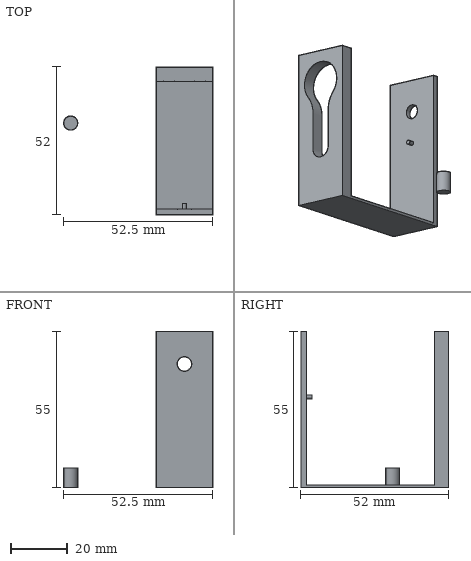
import cadquery as cq
import math

height = 55.0
depth = 52.0
width = 20.0
back_wall = 5.0
front_wall = 2.0
floor = 1.0

hole_diameter = 5.0
hole_z = height - 11.5

peg_diameter = 1.5
peg_length = 2.0
peg_z = 31.9

head_radius = 7.35
slot_radius = 3.45
slot_end_z = 19.45
blend_radius = 9.5

pin_diameter = 5.0
pin_length = 7.0
pin_x = -40.05
pin_y = 32.3


def cylinder_along_y(diameter, start_y, length, z):
    """Cylinder on the bracket's middle plane, running toward +Y."""
    return cq.Workplane(cq.Solid.makeCylinder(
        diameter / 2, length, cq.Vector(0, start_y, z), cq.Vector(0, 1, 0)))


def make_keyhole_cutter():
    """Large head running into a round-ended slot through concave blends."""
    blend_x = slot_radius + blend_radius
    center_distance = head_radius + blend_radius
    blend_drop = math.sqrt(center_distance**2 - blend_x**2)
    blend_z = hole_z - blend_drop
    touch_x = blend_x * head_radius / center_distance
    touch_z = hole_z - blend_drop * head_radius / center_distance

    half_angle = math.atan2(blend_drop, blend_x) / 2
    middle_x = blend_x - blend_radius * math.cos(half_angle)
    middle_z = blend_z + blend_radius * math.sin(half_angle)

    return (
        cq.Workplane("XZ", origin=(0, depth, 0))
        .moveTo(slot_radius, slot_end_z)
        .lineTo(slot_radius, blend_z)
        .threePointArc((middle_x, middle_z), (touch_x, touch_z))
        .threePointArc((0, hole_z + head_radius), (-touch_x, touch_z))
        .threePointArc((-middle_x, middle_z), (-slot_radius, blend_z))
        .lineTo(-slot_radius, slot_end_z)
        .threePointArc((0, slot_end_z - slot_radius), (slot_radius, slot_end_z))
        .close()
        .extrude(back_wall)
    )


def make_bracket():
    profile = [
        (0, 0),
        (depth, 0),
        (depth, height),
        (depth - back_wall, height),
        (depth - back_wall, floor),
        (front_wall, floor),
        (front_wall, height),
        (0, height),
    ]
    body = cq.Workplane("YZ").polyline(profile).close().extrude(width / 2, both=True)
    hole = cylinder_along_y(hole_diameter, 0, front_wall, hole_z)
    peg = cylinder_along_y(peg_diameter, front_wall, peg_length, peg_z)
    return body.cut(hole).cut(make_keyhole_cutter()).union(peg)


def make_pin():
    return (
        cq.Workplane("XY", origin=(pin_x, pin_y, 0))
        .circle(pin_diameter / 2)
        .extrude(pin_length)
    )


bracket = make_bracket()
pin = make_pin()
result = cq.Compound.makeCompound([bracket.val(), pin.val()])